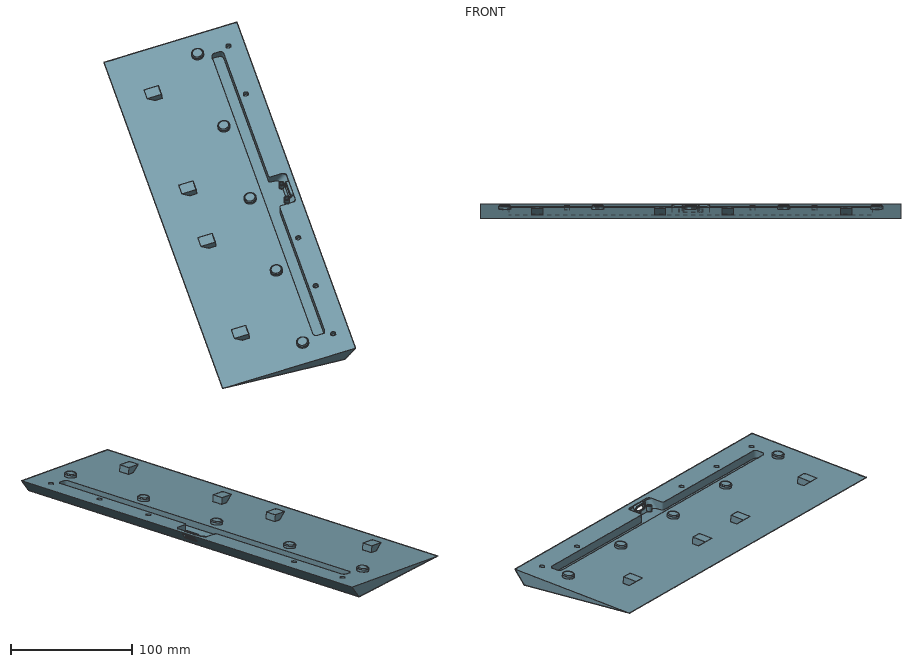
import cadquery as cq
import math

LENGTH = 346.5
DEPTH = 114.5
HEIGHT = 12.0
BACK_UNDERCUT = 9.5
TILT = math.degrees(math.atan2(HEIGHT, DEPTH))

SLOT_LENGTH = 299.7
SLOT_FRONT = 85.2
SLOT_BACK = 95.3
FLOOR_Z = 3.0
SLOT_CORNER = 3.0
CUT_TOP = HEIGHT + 3.5

BAY_WIDTH = 30.5
BAY_WALL = 2.95
BAY_LIP_BOTTOM = 10.0
BAY_CORNER = 3.0
BAY_MOUTH_RADIUS = 1.7

HOUSING_WIDTH = 14.5
HOUSING_FRONT = 107.0
HOUSING_BOTTOM = 5.0
HOUSING_TOP = 11.0
HOUSING_CORNER = 1.7
PORT_WIDTH = 12.0
PORT_BOTTOM = 5.5
PORT_TOP = 9.7
PORT_CORNER = 1.0
PLUG_WIDTH = 12.8
PLUG_FRONT = 107.7
PLUG_BOTTOM = 5.0
PLUG_TOP = 10.0

POST_DIAMETER = 4.5
POST_BORE = 3.0
POST_HEIGHT = 5.0
POST_SPACING = 15.5
POST_Y = 104.0

HOLE_DIAMETER = 4.0
HOLE_DEPTH = 3.5
HOLE_PITCH = 51.0
HOLE_STEPS = (-3, -2, 1, 2, 3)
HOLE_RISE = 101.5

PAD_DIAMETER = 10.0
PAD_HEIGHT = 2.95
PAD_CHAMFER = 0.85
PAD_PITCH = 76.5
PAD_COUNT = 5
PAD_RISE = 75.2

HOOK_CENTERS = (-126.5, -25.3, 30.5, 128.2)
HOOK_WIDTH = 9.5
HOOK_HEIGHT = 6.0
HOOK_BACK_RISE = 35.5
HOOK_BASE = 6.2
HOOK_OVERHANG = 6.2

SINK = 0.7
MARGIN = 0.7


def extrude_along_x(points, width):
    return cq.Workplane("YZ").polyline(points).close().extrude(width / 2, both=True)


def on_slope(shape, x, rise):
    """Tilt a shape onto the top face, at a distance up the slope from the front edge."""
    return shape.translate((x, rise, 0)).rotate((0, 0, 0), (1, 0, 0), TILT)


def wedge():
    return extrude_along_x([(0, 0), (DEPTH, HEIGHT), (DEPTH - BACK_UNDERCUT, 0)], LENGTH)


def slot_cut():
    blank = cq.Workplane("XY", origin=(0, (SLOT_FRONT + SLOT_BACK) / 2, FLOOR_Z))
    blank = blank.rect(SLOT_LENGTH, SLOT_BACK - SLOT_FRONT).extrude(CUT_TOP - FLOOR_Z)
    return blank.edges("|Z").fillet(SLOT_CORNER)


def bay_back(z):
    """Y of the bay's sloping back wall at height z."""
    return DEPTH - BAY_WALL - (HEIGHT - z) * BACK_UNDERCUT / HEIGHT


def bay_cut():
    front = (SLOT_FRONT + SLOT_BACK) / 2
    lip_y = bay_back(BAY_LIP_BOTTOM)
    outline = [
        (front, FLOOR_Z),
        (bay_back(FLOOR_Z), FLOOR_Z),
        (lip_y, BAY_LIP_BOTTOM),
        (lip_y - (CUT_TOP - BAY_LIP_BOTTOM) * HEIGHT / DEPTH, CUT_TOP),
        (front, CUT_TOP),
    ]
    bay = extrude_along_x(outline, BAY_WIDTH)
    back_corners = cq.selectors.BoxSelector(
        (-BAY_WIDTH, bay_back(FLOOR_Z), FLOOR_Z + MARGIN), (BAY_WIDTH, DEPTH, CUT_TOP - MARGIN)
    )
    return bay.edges("not |X").edges(back_corners).fillet(BAY_CORNER)


def recess_cut():
    recess = slot_cut().union(bay_cut())
    mouth_corners = cq.selectors.BoxSelector(
        (-BAY_WIDTH, SLOT_BACK - MARGIN, 0), (BAY_WIDTH, SLOT_BACK + MARGIN, CUT_TOP)
    )
    return recess.edges("|Z").edges(mouth_corners).fillet(BAY_MOUTH_RADIUS)


def rounded_bar(width, front, bottom, top, corner):
    """Bar along Y with rounded long edges, from the front to beyond the back face."""
    length = DEPTH + MARGIN - front
    bar = cq.Workplane("XY", origin=(0, front, bottom))
    bar = bar.box(width, length, top - bottom, centered=(True, False, False))
    return bar.edges("|Y").fillet(corner)


def post():
    return (
        cq.Workplane("XY", origin=(0, POST_Y, FLOOR_Z - SINK))
        .circle(POST_DIAMETER / 2)
        .extrude(POST_HEIGHT + SINK)
    )


def post_bore():
    bore = cq.Workplane("XY", origin=(0, POST_Y, FLOOR_Z))
    return bore.circle(POST_BORE / 2).extrude(POST_HEIGHT)


def pad():
    blank = cq.Workplane("XY", origin=(0, 0, -SINK)).circle(PAD_DIAMETER / 2)
    return blank.extrude(PAD_HEIGHT + SINK).faces(">Z").chamfer(PAD_CHAMFER)


def hook():
    base_front = -HOOK_BASE
    return extrude_along_x(
        [
            (0, -SINK),
            (0, HOOK_HEIGHT),
            (base_front - HOOK_OVERHANG, HOOK_HEIGHT),
            (base_front, 0),
            (base_front, -SINK),
        ],
        HOOK_WIDTH,
    )


def screw_hole():
    hole = cq.Workplane("XY", origin=(0, 0, -HOLE_DEPTH))
    return hole.circle(HOLE_DIAMETER / 2).extrude(2 * HOLE_DEPTH)


result = wedge().cut(recess_cut())

housing = rounded_bar(HOUSING_WIDTH, HOUSING_FRONT, HOUSING_BOTTOM, HOUSING_TOP, HOUSING_CORNER)
port = rounded_bar(PORT_WIDTH, SLOT_BACK, PORT_BOTTOM, PORT_TOP, PORT_CORNER)
plug_pocket = rounded_bar(PLUG_WIDTH, PLUG_FRONT, PLUG_BOTTOM, PLUG_TOP, PORT_CORNER)
result = result.union(housing.intersect(wedge())).cut(port).cut(plug_pocket)

for side in (-1, 1):
    post_x = side * POST_SPACING / 2
    result = result.union(post().translate((post_x, 0, 0)))
    result = result.cut(post_bore().translate((post_x, 0, 0)))

for step in HOLE_STEPS:
    result = result.cut(on_slope(screw_hole(), step * HOLE_PITCH, HOLE_RISE))

for index in range(PAD_COUNT):
    pad_x = (index - (PAD_COUNT - 1) / 2) * PAD_PITCH
    result = result.union(on_slope(pad(), pad_x, PAD_RISE))

for hook_x in HOOK_CENTERS:
    result = result.union(on_slope(hook(), hook_x, HOOK_BACK_RISE))